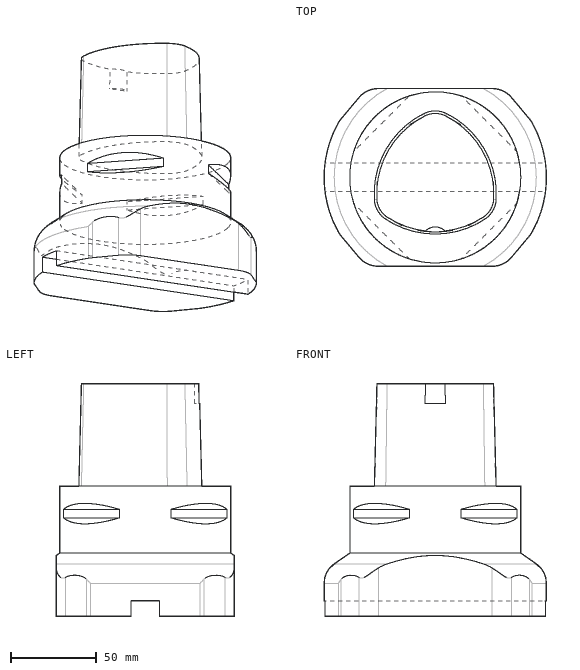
import math

import cadquery as cq

TOTAL_HEIGHT = 136.0
SHANK_LENGTH = 60.0
SHOULDER_HEIGHT = TOTAL_HEIGHT - SHANK_LENGTH
COLLAR_BASE_HEIGHT = 37.0

COLLAR_RADIUS = 50.0
HEAD_RADIUS = 65.0
SHOULDER_ANGLE = 35.0
RIM_RADIUS = 14.0

FLAT_DISTANCE = 52.0
CORNER_FLAT_DISTANCE = 64.15
CORNER_FLAT_ANGLE = 40.0
HEAD_EDGE_RADIUS = 15.0

SLOT_WIDTH = 16.6
SLOT_DEPTH = 9.0

NOTCH_COUNT = 4
NOTCH_FIRST_ANGLE = 45.0
NOTCH_FLOOR_DISTANCE = 44.4
NOTCH_FLOOR_HEIGHT = 5.0
NOTCH_FLANK_ANGLE = 32.0
NOTCH_DROP = 16.0
NOTCH_CENTRE_HEIGHT = SHOULDER_HEIGHT - NOTCH_DROP

LOBE_COUNT = 3
FIRST_LOBE_ANGLE = 90.0
SIDE_RADIUS = 52.6
SIDE_CENTRE_OFFSET = 19.5
LOBE_RADIUS = 14.9
SHANK_TAPER = 1 / 40

RECESS_RADIUS = 8.0
RECESS_BACK_DISTANCE = 28.9
RECESS_DEPTH = 11.6

CUT_MARGIN = 5.0


def polar(distance, angle):
    """Point at a distance from the axis, with the angle in degrees from +X."""
    return (
        distance * math.cos(math.radians(angle)),
        distance * math.sin(math.radians(angle)),
    )


def revolved_body():
    """Head and collar as one turned body."""
    slope = math.radians(SHOULDER_ANGLE)
    rim_centre_r = HEAD_RADIUS - RIM_RADIUS
    cone_end_r = rim_centre_r + RIM_RADIUS * math.sin(slope)
    cone_end_z = COLLAR_BASE_HEIGHT - (cone_end_r - COLLAR_RADIUS) * math.tan(slope)
    rim_end_z = cone_end_z - RIM_RADIUS * math.cos(slope)
    rim_mid_angle = (90.0 - SHOULDER_ANGLE) / 2
    mid_r, mid_z = polar(RIM_RADIUS, rim_mid_angle)
    return (
        cq.Workplane("XZ")
        .lineTo(HEAD_RADIUS, 0)
        .lineTo(HEAD_RADIUS, rim_end_z)
        .threePointArc((rim_centre_r + mid_r, rim_end_z + mid_z), (cone_end_r, cone_end_z))
        .lineTo(COLLAR_RADIUS, COLLAR_BASE_HEIGHT)
        .lineTo(COLLAR_RADIUS, SHOULDER_HEIGHT)
        .lineTo(0, SHOULDER_HEIGHT)
        .close()
        .revolve(360, (0, 0, 0), (0, 1, 0))
    )


def head_envelope():
    """Prism with the plan outline of the head: two main flats, four corner flats, rounded edges."""
    half_turn = math.radians((90.0 - CORNER_FLAT_ANGLE) / 2)
    slope = math.radians(CORNER_FLAT_ANGLE)
    meeting_x = (CORNER_FLAT_DISTANCE - FLAT_DISTANCE * math.sin(slope)) / math.cos(slope)
    corner_x = meeting_x - HEAD_EDGE_RADIUS * math.tan(half_turn)
    corner_y = FLAT_DISTANCE - HEAD_EDGE_RADIUS
    blend_distance = HEAD_RADIUS - HEAD_EDGE_RADIUS
    offset_angle = math.degrees(
        math.acos((CORNER_FLAT_DISTANCE - HEAD_EDGE_RADIUS) / blend_distance)
    )
    blend_angle = CORNER_FLAT_ANGLE - offset_angle
    blend_centre = polar(blend_distance, blend_angle)

    def edge_point(centre, angle, side):
        dx, dy = polar(HEAD_EDGE_RADIUS, angle)
        return (centre[0] + dx, side * (centre[1] + dy))

    def corner_point(angle, side):
        return edge_point((corner_x, corner_y), angle, side)

    def blend_point(angle, side):
        return edge_point(blend_centre, angle, side)

    corner_middle_angle = (90.0 + CORNER_FLAT_ANGLE) / 2
    blend_middle_angle = (CORNER_FLAT_ANGLE + blend_angle) / 2
    half_outline = (
        cq.Workplane("XY")
        .moveTo(0, FLAT_DISTANCE)
        .lineTo(corner_x, FLAT_DISTANCE)
        .threePointArc(corner_point(corner_middle_angle, 1), corner_point(CORNER_FLAT_ANGLE, 1))
        .lineTo(*blend_point(CORNER_FLAT_ANGLE, 1))
        .threePointArc(blend_point(blend_middle_angle, 1), blend_point(blend_angle, 1))
        .threePointArc((HEAD_RADIUS, 0), blend_point(blend_angle, -1))
        .threePointArc(blend_point(blend_middle_angle, -1), blend_point(CORNER_FLAT_ANGLE, -1))
        .lineTo(*corner_point(CORNER_FLAT_ANGLE, -1))
        .threePointArc(corner_point(corner_middle_angle, -1), (corner_x, -FLAT_DISTANCE))
        .lineTo(0, -FLAT_DISTANCE)
    )
    return half_outline.mirrorY().extrude(SHOULDER_HEIGHT)


def drive_slot():
    """Slot running through the head along X."""
    return cq.Workplane("XY").box(
        2 * (HEAD_RADIUS + CUT_MARGIN), SLOT_WIDTH, 2 * SLOT_DEPTH
    )


def gripper_notch(angle):
    """Straight notch with a flat floor and flared flanks, facing the given direction."""
    outer = COLLAR_RADIUS + CUT_MARGIN
    floor_half = NOTCH_FLOOR_HEIGHT / 2
    flare = (outer - NOTCH_FLOOR_DISTANCE) * math.tan(math.radians(NOTCH_FLANK_ANGLE))
    outer_half = floor_half + flare
    return (
        cq.Workplane("XZ")
        .polyline(
            [
                (NOTCH_FLOOR_DISTANCE, -floor_half),
                (outer, -outer_half),
                (outer, outer_half),
                (NOTCH_FLOOR_DISTANCE, floor_half),
            ]
        )
        .close()
        .extrude(COLLAR_RADIUS, both=True)
        .translate((0, 0, NOTCH_CENTRE_HEIGHT))
        .rotate((0, 0, 0), (0, 0, 1), angle)
    )


def shank_outline(plane, inset):
    """Add the closed three-lobed outline to a workplane, moved inward by an inset."""
    side_radius = SIDE_RADIUS - inset
    lobe_radius = LOBE_RADIUS - inset
    centre_gap = SIDE_RADIUS - LOBE_RADIUS
    half_offset = SIDE_CENTRE_OFFSET / 2
    lobe_centre = math.sqrt(centre_gap**2 - 3 * half_offset**2) - half_offset
    step = 360.0 / LOBE_COUNT
    lobe_half_angle = math.degrees(
        math.asin(SIDE_CENTRE_OFFSET * math.sin(math.radians(step / 2)) / centre_gap)
    )

    def lobe_point(lobe_angle, turn):
        centre_x, centre_y = polar(lobe_centre, lobe_angle)
        dx, dy = polar(lobe_radius, lobe_angle + turn)
        return (centre_x + dx, centre_y + dy)

    outline = plane.moveTo(*lobe_point(FIRST_LOBE_ANGLE, -lobe_half_angle))
    for index in range(LOBE_COUNT):
        lobe_angle = FIRST_LOBE_ANGLE + index * step
        side_middle = polar(side_radius - SIDE_CENTRE_OFFSET, lobe_angle + step / 2)
        outline = outline.threePointArc(
            lobe_point(lobe_angle, 0), lobe_point(lobe_angle, lobe_half_angle)
        )
        outline = outline.threePointArc(
            side_middle, lobe_point(lobe_angle + step, -lobe_half_angle)
        )
    return outline.close()


def shank():
    """Tapered shank standing on the collar."""
    base = shank_outline(cq.Workplane("XY").workplane(offset=SHOULDER_HEIGHT), 0)
    top_plane = base.workplane(offset=SHANK_LENGTH)
    return shank_outline(top_plane, SHANK_LENGTH * SHANK_TAPER).loft(ruled=True, combine=True)


def shank_recess():
    """Round-backed recess cut down from the top of the shank on its -Y side."""
    return (
        cq.Workplane("XY")
        .workplane(offset=TOTAL_HEIGHT - RECESS_DEPTH)
        .center(0, -(RECESS_BACK_DISTANCE + RECESS_RADIUS))
        .circle(RECESS_RADIUS)
        .extrude(RECESS_DEPTH + CUT_MARGIN)
    )


body = revolved_body().intersect(head_envelope()).cut(drive_slot())
for notch_index in range(NOTCH_COUNT):
    body = body.cut(gripper_notch(NOTCH_FIRST_ANGLE + notch_index * 360.0 / NOTCH_COUNT))
result = body.union(shank().cut(shank_recess()))